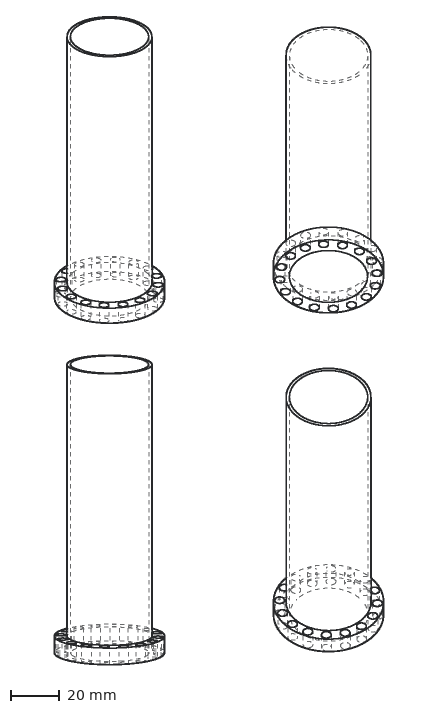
import cadquery as cq

total_height = 120.8
tube_outer_diameter = 34.8
bore_diameter = 32.0
flange_diameter = 45.2
flange_thickness = 7.0
hole_diameter = 4.0
hole_count = 16

bolt_circle_radius = (tube_outer_diameter + flange_diameter) / 4


def cylinder(diameter, height):
    """Upright cylinder standing on the base plane."""
    return cq.Workplane("XY").circle(diameter / 2).extrude(height)


flange = cylinder(flange_diameter, flange_thickness)
tube = cylinder(tube_outer_diameter, total_height)
bore = cylinder(bore_diameter, total_height)

bolt_holes = (
    cq.Workplane("XY")
    .polarArray(bolt_circle_radius, 0, 360, hole_count)
    .circle(hole_diameter / 2)
    .extrude(flange_thickness)
)

result = flange.cut(bolt_holes).union(tube).cut(bore)